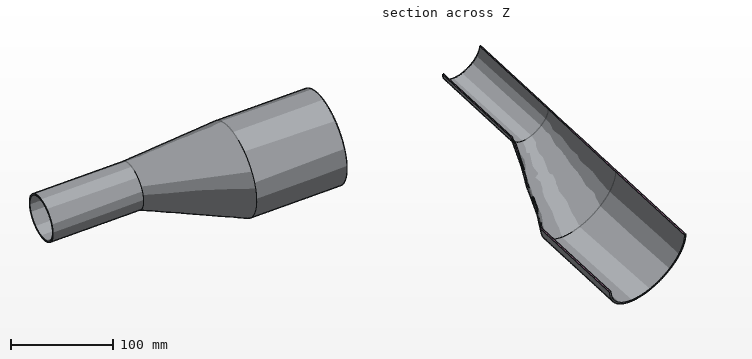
import cadquery as cq

large_diameter = 101.6
large_wall = 2.11
small_diameter = 50.8
small_wall = 1.65
total_length = 298.5
pipe_length = 100.0

cone_length = total_length - 2 * pipe_length
cone_end = pipe_length + cone_length
axis_offset = (large_diameter - small_diameter) / 2


def cross_section(y, center_x):
    """Plane across the pipe at position y, with its normal along +Y and local y along +X."""
    return cq.Plane(origin=(center_x, y, 0), xDir=(0, 0, 1), normal=(0, 1, 0))


def reducer_body(small_radius, large_radius):
    """Solid reducer: two straight cylinders joined by a slanted cone."""
    small_start = cross_section(0, -axis_offset)
    large_start = cross_section(cone_end, 0)

    small_pipe = cq.Workplane(small_start).circle(small_radius).extrude(pipe_length)
    large_pipe = cq.Workplane(large_start).circle(large_radius).extrude(pipe_length)
    cone = (
        cq.Workplane(cross_section(pipe_length, -axis_offset))
        .circle(small_radius)
        .workplane(offset=cone_length)
        .center(0, axis_offset)
        .circle(large_radius)
        .loft(ruled=True)
    )
    return small_pipe.union(cone).union(large_pipe)


outside = reducer_body(small_diameter / 2, large_diameter / 2)
bore = reducer_body(small_diameter / 2 - small_wall, large_diameter / 2 - large_wall)
result = outside.cut(bore)